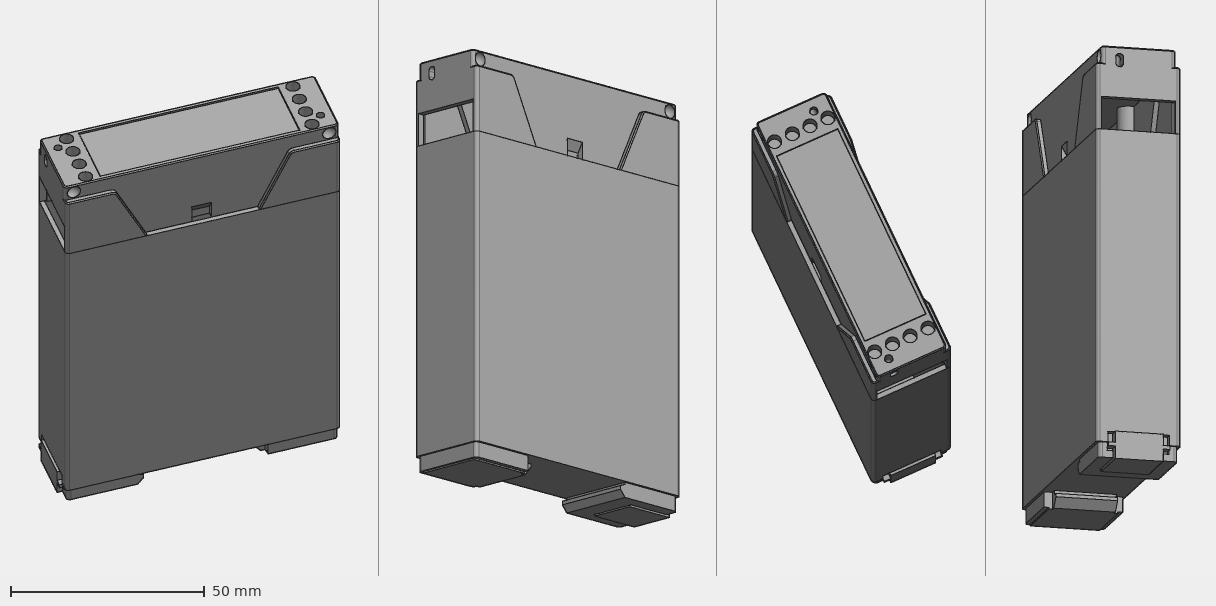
import cadquery as cq

TOTAL_HEIGHT = 109.7
WIDTH = 22.5
DEPTH = 74.8
CORNER_RADIUS = 1.0

CASE_BOTTOM = 4.5
SPLIT_HEIGHT = 87.5
WINDOW_TOP = 96.2
EAR_TOP = 105.2

CASE_WALL = 1.3
FOOT_WIDTH = 21.1
FOOT_INSET = 0.5
FIXED_FOOT_INNER_Y = 17.9
HOOK_WIDTH = 16.5
FOOT_BOTTOM = 0.4
SOLE_WIDTH = 18.4
SOLE_INSET = 1.1

COVER_WIDTH = 19.7
COVER_WALL = 1.9
COVER_EDGE = 0.3
ROOF_THICKNESS = 6.6
RECESS_TOP_HALF = 23.8
RECESS_BOTTOM_HALF = 15.2
RECESS_CORNER_RADIUS = 1.6
PILLAR_RADIUS = 2.7
PILLAR_X = 7.0
SCREW_DIAMETER = 3.6
SCREW_PITCH = 5.0
SCREW_COUNT = 4
SCREW_Y = 30.8
SCREW_DEPTH = 4.4
SEAL_DIAMETER = 2.1
SEAL_X = SCREW_PITCH
SEAL_INSET = 3.4
SEAL_BALL_DEPTH = 4.3
SEAL_SLOT_HEIGHT = 3.5
DISH_INSET = 2.6
DISH_BELOW_TOP = 2.3
LABEL_WIDTH = 17.3
LABEL_LENGTH = 54.3
LABEL_DEPTH = 0.5
CATCH_LENGTH = 5.4
CATCH_HEIGHT = 5.2
CATCH_FLAT_HEIGHT = 2.5
CATCH_DEPTH = 1.5

LATCH_PROTRUSION = 0.8
LATCH_WIDTH = 12.7
LATCH_CHANNEL_WIDTH = 13.4
LATCH_WING_WIDTH = 16.5
LATCH_TOP = 7.2
LATCH_WING_BOTTOM = 3.3
LATCH_WING_TOP = 4.3
LATCH_POCKET_BOTTOM = 2.3
LATCH_PLATE_THICKNESS = 2.2
LATCH_LENGTH = 14.5

HALF_DEPTH = DEPTH / 2
FRONT_Y = -HALF_DEPTH
ROOF_BOTTOM = TOTAL_HEIGHT - ROOF_THICKNESS
ENDS = (-1, 1)


def box(width, y_start, y_end, z_bottom, z_top):
    """Box centred on X, between two Y positions and two heights."""
    return (
        cq.Workplane("XY")
        .box(width, y_end - y_start, z_top - z_bottom, centered=(True, False, False))
        .translate((0, y_start, z_bottom))
    )


def side_profile(points, width):
    """Outline of (Y, Z) points extruded to a width centred on X."""
    return cq.Workplane("YZ").polyline(points).close().extrude(width / 2, both=True)


def rounded_block(width, z_bottom, z_top):
    """Full-depth block with rounded vertical corners."""
    return box(width, -HALF_DEPTH, HALF_DEPTH, z_bottom, z_top).edges("|Z").fillet(CORNER_RADIUS)



def fixed_foot():
    """Rear foot on a thin sole, with a narrower rigid hook for the mounting rail."""
    outer_y = HALF_DEPTH - FOOT_INSET
    block = (
        box(FOOT_WIDTH, FIXED_FOOT_INNER_Y, outer_y, FOOT_BOTTOM, CASE_BOTTOM)
        .edges("|Z and >Y").fillet(CORNER_RADIUS)
    )
    sole = box(SOLE_WIDTH, FIXED_FOOT_INNER_Y, HALF_DEPTH - SOLE_INSET, 0, FOOT_BOTTOM)
    hook_tip_y = 14.5
    hook_neck_y = 15.8
    hook_toe_y = 16.7
    lip_top = 3.4
    lip_bottom = 2.5
    hook = side_profile(
        [
            (FIXED_FOOT_INNER_Y, 0),
            (hook_toe_y, 0),
            (hook_tip_y, lip_bottom),
            (hook_tip_y, lip_top),
            (hook_neck_y, lip_top),
            (hook_neck_y, CASE_BOTTOM),
            (FIXED_FOOT_INNER_Y, CASE_BOTTOM),
        ],
        HOOK_WIDTH,
    )
    return block.union(sole).union(hook)


def latch_foot():
    """Front foot that carries the latch, with a pointed nose toward the rail."""
    outer_y = FRONT_Y + FOOT_INSET
    neck_y = -17.7
    tip_y = -16.0
    tip_top = 3.3
    tip_bottom = 2.3
    neck_top = 4.0
    return side_profile(
        [
            (outer_y, FOOT_BOTTOM),
            (neck_y, FOOT_BOTTOM),
            (tip_y, tip_bottom),
            (tip_y, tip_top),
            (neck_y, neck_top),
            (neck_y, CASE_BOTTOM),
            (outer_y, CASE_BOTTOM),
        ],
        FOOT_WIDTH,
    ).edges("|Z and <Y").fillet(CORNER_RADIUS)


def latch_space():
    """Pocket behind the latch plate and channel for its slide."""
    plate_back_y = FRONT_Y + LATCH_PLATE_THICKNESS
    slide_back_y = FRONT_Y - LATCH_PROTRUSION + LATCH_LENGTH
    pocket = box(LATCH_WING_WIDTH, FRONT_Y, plate_back_y, LATCH_POCKET_BOTTOM, LATCH_TOP)
    channel = box(LATCH_CHANNEL_WIDTH, FRONT_Y, slide_back_y, 0, LATCH_POCKET_BOTTOM)
    return pocket.union(channel)


def make_case():
    """Open-topped case with two rail feet."""
    floor_top = LATCH_TOP + CASE_WALL
    cavity = box(
        WIDTH - 2 * CASE_WALL, FRONT_Y + CASE_WALL, HALF_DEPTH - CASE_WALL, floor_top, SPLIT_HEIGHT
    )
    return (
        rounded_block(WIDTH, CASE_BOTTOM, SPLIT_HEIGHT)
        .cut(cavity)
        .union(fixed_foot())
        .union(latch_foot())
        .cut(latch_space())
    )



def recess_prism(inward_offset, width):
    """Trapezoid between the ears, narrowed on each slope by an offset along Y."""
    top_half = RECESS_TOP_HALF - inward_offset
    bottom_half = RECESS_BOTTOM_HALF - inward_offset
    return side_profile(
        [
            (-bottom_half, SPLIT_HEIGHT),
            (bottom_half, SPLIT_HEIGHT),
            (top_half, EAR_TOP),
            (-top_half, EAR_TOP),
        ],
        width,
    )


def make_ears():
    """Full-width end portions beside the trapezoidal recess, chamfered on the exposed rim."""
    ears = rounded_block(WIDTH, SPLIT_HEIGHT, EAR_TOP).cut(recess_prism(0, WIDTH))
    ear_points = cq.selectors.BoxSelector(
        (-WIDTH, -RECESS_TOP_HALF - COVER_EDGE, EAR_TOP - COVER_EDGE),
        (WIDTH, RECESS_TOP_HALF + COVER_EDGE, EAR_TOP + COVER_EDGE),
    )
    ears = ears.edges(ear_points).fillet(RECESS_CORNER_RADIUS)
    rim_y = HALF_DEPTH - 2 * CORNER_RADIUS
    rim = cq.selectors.BoxSelector(
        (-WIDTH, -rim_y, SPLIT_HEIGHT + COVER_EDGE), (WIDTH, rim_y, TOTAL_HEIGHT)
    )
    return ears.faces("<X or >X").edges(rim).chamfer(COVER_EDGE)


def cover_cavity():
    """Hollow under the roof, wider in the ears than behind the recess."""
    y_end = HALF_DEPTH - COVER_WALL
    narrow = box(COVER_WIDTH - 2 * COVER_WALL, -y_end, y_end, SPLIT_HEIGHT, ROOF_BOTTOM)
    wide_width = WIDTH - 2 * COVER_WALL
    wide = box(wide_width, -y_end, y_end, SPLIT_HEIGHT, ROOF_BOTTOM)
    return narrow.union(wide.cut(recess_prism(-COVER_WALL, wide_width)))


def end_windows():
    """Openings through the lower part of both end walls."""
    front = box(COVER_WIDTH, FRONT_Y, FRONT_Y + COVER_WALL, SPLIT_HEIGHT, WINDOW_TOP)
    return front.union(front.mirror("XZ"))


def pillars():
    """Round pillars along the side walls, hanging from the roof."""
    places = [(side * PILLAR_X, 0) for side in ENDS]
    return (
        cq.Workplane("XY", origin=(0, 0, SPLIT_HEIGHT))
        .pushPoints(places)
        .circle(PILLAR_RADIUS)
        .extrude(ROOF_BOTTOM - SPLIT_HEIGHT)
    )


def screw_holes():
    """A row of screw access holes at each end of the roof."""
    first_x = -SCREW_PITCH * (SCREW_COUNT - 1) / 2
    places = [(first_x + i * SCREW_PITCH, end * SCREW_Y) for i in range(SCREW_COUNT) for end in ENDS]
    return (
        cq.Workplane("XY", origin=(0, 0, TOTAL_HEIGHT - SCREW_DEPTH))
        .pushPoints(places)
        .circle(SCREW_DIAMETER / 2)
        .extrude(SCREW_DEPTH)
    )


def seal_passages():
    """Round-bottomed holes in the roof, each opened to its end wall by an upright slot."""
    radius = SEAL_DIAMETER / 2
    hole_y = FRONT_Y + SEAL_INSET
    ball_z = TOTAL_HEIGHT - SEAL_BALL_DEPTH
    hole = cq.Workplane("XY", origin=(-SEAL_X, hole_y, ball_z)).circle(radius).extrude(SEAL_BALL_DEPTH)
    ball = cq.Workplane("XY", origin=(-SEAL_X, hole_y, ball_z)).sphere(radius)
    slot_centre_z = ball_z - radius + SEAL_SLOT_HEIGHT / 2
    slot = (
        cq.Workplane("XZ", origin=(-SEAL_X, FRONT_Y, slot_centre_z))
        .slot2D(SEAL_SLOT_HEIGHT, SEAL_DIAMETER, 90)
        .extrude(-SEAL_INSET)
    )
    front = hole.union(ball).union(slot)
    return front.union(front.rotate((0, 0, 0), (0, 0, 1), 180))


def side_dishes():
    """Hemispherical dishes in the upper corners of both sides."""
    places = [
        (side * COVER_WIDTH / 2, end * (HALF_DEPTH - DISH_INSET), TOTAL_HEIGHT - DISH_BELOW_TOP)
        for side in ENDS
        for end in ENDS
    ]
    return cq.Workplane("XY").pushPoints(places).sphere(SCREW_DIAMETER / 2)


def catch_recesses():
    """Recesses above the split line on both sides, closed upward by a slope."""
    outer_x = COVER_WIDTH / 2
    inner_x = outer_x - CATCH_DEPTH
    right = (
        cq.Workplane("XZ")
        .polyline(
            [
                (outer_x, SPLIT_HEIGHT),
                (inner_x, SPLIT_HEIGHT),
                (inner_x, SPLIT_HEIGHT + CATCH_FLAT_HEIGHT),
                (outer_x, SPLIT_HEIGHT + CATCH_HEIGHT),
            ]
        )
        .close()
        .extrude(CATCH_LENGTH / 2, both=True)
    )
    return right.union(right.mirror("YZ"))


def make_cover():
    """Hollow cover with ears, roof holes and end windows."""
    roof_block = (
        rounded_block(COVER_WIDTH, SPLIT_HEIGHT, TOTAL_HEIGHT).faces(">Z").edges().chamfer(COVER_EDGE)
    )
    label = box(LABEL_WIDTH, -LABEL_LENGTH / 2, LABEL_LENGTH / 2, TOTAL_HEIGHT - LABEL_DEPTH, TOTAL_HEIGHT)
    return (
        make_ears()
        .union(roof_block)
        .cut(cover_cavity())
        .union(pillars())
        .cut(end_windows())
        .cut(label)
        .cut(screw_holes())
        .cut(seal_passages())
        .cut(side_dishes())
        .cut(catch_recesses())
    )



def make_latch():
    """Sliding latch: a front plate with side wings and a slide under the case."""
    outer_y = FRONT_Y - LATCH_PROTRUSION
    plate_back_y = FRONT_Y + LATCH_PLATE_THICKNESS
    plate = box(LATCH_WIDTH, outer_y, plate_back_y, 0, LATCH_TOP)
    wings = box(LATCH_WING_WIDTH, outer_y, plate_back_y, LATCH_WING_BOTTOM, LATCH_WING_TOP)
    slide = box(LATCH_WIDTH, outer_y, outer_y + LATCH_LENGTH, 0, LATCH_POCKET_BOTTOM)
    return plate.union(wings).union(slide)


case = make_case()
cover = make_cover()
latch = make_latch()

result = cq.Compound.makeCompound([case.solids().val(), cover.solids().val(), latch.solids().val()])